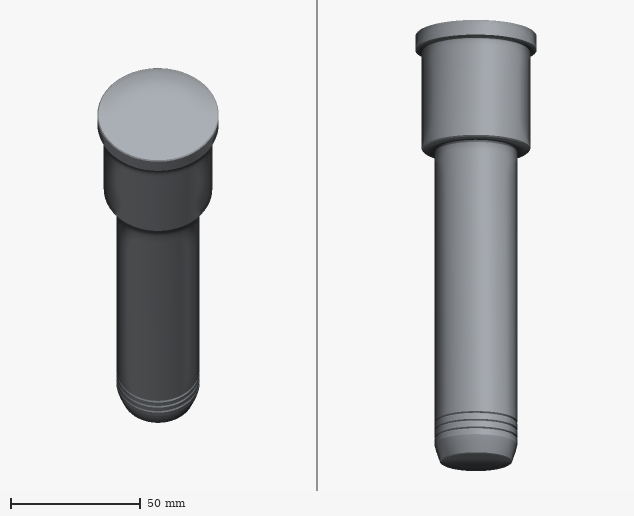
import cadquery as cq

total_length = 171.0
head_radius = 23.51
head_height = 6.0
head_chamfer = 0.43
collar_radius = 21.0
collar_length = 40.0
collar_chamfer = 0.5
shaft_radius = 16.0

collar_relief_depth = 0.5
shaft_relief_depth = 0.5
relief_width = 1.0

tip_height = 7.0
tip_radius = 13.9
tip_bulge = 0.2
tip_chamfer = 0.3

groove_count = 3
groove_pitch = 3.0
groove_width = 1.0
groove_depth = 0.5
lowest_groove_bottom = 9.0

head_bottom = total_length - head_height
collar_bottom = head_bottom - collar_length


def cylinder(radius, bottom, top):
    """Solid cylinder about Z between two heights."""
    return cq.Workplane("XY").workplane(offset=bottom).circle(radius).extrude(top - bottom)


def ring_groove(radius, depth, bottom, width):
    """Ring that cuts a square groove into a cylinder of the given radius."""
    return (
        cq.Workplane("XY")
        .workplane(offset=bottom)
        .circle(radius + depth)
        .circle(radius - depth)
        .extrude(width)
    )


def v_groove(radius, depth, bottom, width):
    """Ring that cuts a V groove into a cylinder of the given radius."""
    return (
        cq.Workplane("XZ")
        .moveTo(radius, bottom)
        .lineTo(radius - depth, bottom + width / 2)
        .lineTo(radius, bottom + width)
        .lineTo(radius + depth, bottom + width)
        .lineTo(radius + depth, bottom)
        .close()
        .revolve(360, (0, 0, 0), (0, 1, 0))
    )


def rounded_tip():
    """Slightly convex lead-in, revolved about Z."""
    middle_radius = (tip_radius + shaft_radius) / 2 + tip_bulge
    return (
        cq.Workplane("XZ")
        .moveTo(0, 0)
        .lineTo(tip_radius, 0)
        .threePointArc((middle_radius, tip_height / 2), (shaft_radius, tip_height))
        .lineTo(0, tip_height)
        .close()
        .revolve(360, (0, 0, 0), (0, 1, 0))
        .faces("<Z")
        .edges()
        .chamfer(tip_chamfer)
    )


head = cylinder(head_radius, head_bottom, total_length).faces(">Z").edges().chamfer(head_chamfer)
collar = cylinder(collar_radius, collar_bottom, head_bottom).faces("<Z").edges().chamfer(collar_chamfer)
shaft = cylinder(shaft_radius, tip_height, collar_bottom)
result = head.union(collar).union(shaft).union(rounded_tip())

collar_relief = v_groove(collar_radius, collar_relief_depth, head_bottom - relief_width, relief_width)
shaft_relief = ring_groove(shaft_radius, shaft_relief_depth, collar_bottom - relief_width, relief_width)
result = result.cut(collar_relief).cut(shaft_relief)

for index in range(groove_count):
    groove_bottom = lowest_groove_bottom + index * groove_pitch
    result = result.cut(v_groove(shaft_radius, groove_depth, groove_bottom, groove_width))